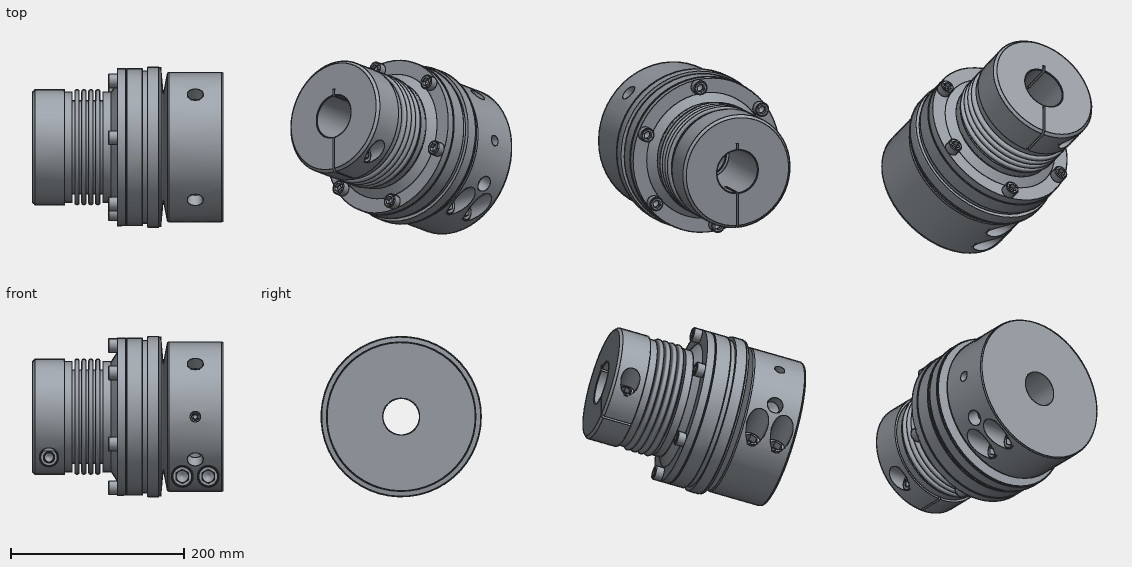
import cadquery as cq
import math

total_length = 220.0
hub_length = 37.0
front_collar_end = 46.0
rear_collar_start = 81.2
rear_collar_end = 90.5
flange_start = 98.0
flange_joint = 108.0
flange_end = 127.2
disc_start = 132.7
disc_end = 146.0
lip_end = 148.0
groove_bottom = 151.0
clamp_start = 155.8

hub_radius = 66.5
collar_radius = 63.8
bellows_core_radius = 54.0
cone_small_radius = 62.5
cone_large_radius = 74.0
flange_radius = 90.6
neck_radius = 88.0
disc_radius = 92.5
lip_radius = 91.7
groove_radius = 60.5
clamp_radius = 86.2

hub_chamfer = 3.0
flange_chamfer = 0.9
disc_front_chamfer_length = 1.5
disc_rear_chamfer_length = 0.9
disc_chamfer_depth = 0.5
clamp_chamfer_length = 1.8
clamp_chamfer_depth = 0.9

convolution_count = 4
first_convolution_x = 51.5
last_convolution_x = 75.5
convolution_width = 5.0

hub_bore_diameter = 50.2
clamp_bore_diameter = 42.0
bore_chamfer = 0.9
slit_width = 2.6
slit_top = 33.0

flange_screw_count = 6
flange_screw_circle_radius = 82.7
flange_screw_first_angle = 82.4
flange_screw_head = 16.0
flange_screw_height = flange_start - 87.5
flange_screw_socket = 8.5

hub_screw_x = hub_length / 2 + 0.7
hub_screw_z = -46.9
hub_screw_shank = 14.0
hub_screw_head = 21.3
hub_screw_pocket = 22.0
hub_screw_socket = 10.5
hub_screw_recess_diameter = 13.0
hub_screw_recess_depth = 0.5
hub_screw_face_y = -32.0
hub_screw_height = 14.3
hub_screw_flat_z = -39.4

clamp_center_x = 187.9
clamp_screw_spacing = 30.0
clamp_screw_z = -68.9
clamp_screw_head = 24.0
clamp_screw_pocket = 25.0
clamp_screw_socket = 14.0
clamp_screw_face_y = -29.7
clamp_screw_height = 16.5

head_chamfer = 1.0
socket_depth_ratio = 0.5
drill_tip_ratio = 0.25

spanner_hole_diameter = 18.5
spanner_hole_depth = 17.2
spanner_hole_angles = (45.0, 135.0, 215.0)
set_screw_hole_diameter = 12.0
set_screw_hole_depth = 11.0
set_screw_face_diameter = 8.5
set_screw_cone_depth = 1.8
set_screw_socket = 5.3
set_screw_socket_depth = 3.3


def turned_body():
    """Outer shape of the coupling, revolved about X without the convolutions."""
    outline = [
        (0, 0),
        (0, hub_radius - hub_chamfer),
        (hub_chamfer, hub_radius),
        (hub_length, hub_radius),
        (hub_length, collar_radius),
        (front_collar_end, collar_radius),
        (front_collar_end, bellows_core_radius),
        (rear_collar_start, bellows_core_radius),
        (rear_collar_start, collar_radius),
        (rear_collar_end, collar_radius),
        (rear_collar_end, cone_small_radius),
        (flange_start, cone_large_radius),
        (flange_start, flange_radius),
        (flange_joint - flange_chamfer, flange_radius),
        (flange_joint, flange_radius - flange_chamfer),
        (flange_joint + flange_chamfer, flange_radius),
        (flange_end - flange_chamfer, flange_radius),
        (flange_end, flange_radius - flange_chamfer),
        (flange_end, neck_radius),
        (disc_start, neck_radius),
        (disc_start, disc_radius - disc_chamfer_depth),
        (disc_start + disc_front_chamfer_length, disc_radius),
        (disc_end - disc_rear_chamfer_length, disc_radius),
        (disc_end, lip_radius),
        (lip_end, lip_radius),
        (groove_bottom, groove_radius),
        (clamp_start, clamp_radius - clamp_chamfer_depth),
        (clamp_start + clamp_chamfer_length, clamp_radius),
        (total_length - clamp_chamfer_length, clamp_radius),
        (total_length, clamp_radius - clamp_chamfer_depth),
        (total_length, 0),
    ]
    return cq.Workplane("XY").polyline(outline).close().revolve(360, (0, 0, 0), (1, 0, 0))


def convolution(center_x):
    """One bellows rib: a thin disc with a fully rounded rim."""
    half_width = convolution_width / 2
    shoulder = hub_radius - half_width
    return (
        cq.Workplane("XY")
        .moveTo(center_x - half_width, bellows_core_radius - 2.2)
        .lineTo(center_x - half_width, shoulder)
        .threePointArc((center_x, hub_radius), (center_x + half_width, shoulder))
        .lineTo(center_x + half_width, bellows_core_radius - 2.2)
        .close()
        .revolve(360, (0, 0, 0), (1, 0, 0))
    )


def stepped_bore():
    """Larger bore through hub and bellows, smaller bore through the rest."""
    hub_bore_radius = hub_bore_diameter / 2
    clamp_bore_radius = clamp_bore_diameter / 2
    outline = [
        (0, 0),
        (0, hub_bore_radius + bore_chamfer),
        (bore_chamfer, hub_bore_radius),
        (rear_collar_end, hub_bore_radius),
        (rear_collar_end, clamp_bore_radius + bore_chamfer),
        (rear_collar_end + bore_chamfer, clamp_bore_radius),
        (total_length, clamp_bore_radius),
        (total_length, 0),
    ]
    return cq.Workplane("XY").polyline(outline).close().revolve(360, (0, 0, 0), (1, 0, 0))


def hex_socket(width, depth):
    """Socket cutter sunk below Z = 0, corners along Y, with a conical drill tip."""
    corner_diameter = width / math.cos(math.pi / 6)
    tip_depth = drill_tip_ratio * width
    prism = cq.Workplane("XY").polygon(6, corner_diameter).extrude(-depth)
    tip = cq.Solid.makeCone(width / 2, 0, tip_depth, cq.Vector(0, 0, -depth), cq.Vector(0, 0, -1))
    return prism.rotate((0, 0, 0), (0, 0, 1), 90).union(cq.Workplane(tip))


def screw_head(diameter, height, socket):
    """Cap screw head with its face on Z = 0 and its body below."""
    head = cq.Workplane("XY").circle(diameter / 2).extrude(-height)
    head = head.faces(">Z").chamfer(head_chamfer)
    return head.cut(hex_socket(socket, socket_depth_ratio * height))


def facing_front(shape, x, y, z):
    """Turn a shape built along Z so that its top faces -Y, then place it."""
    return shape.rotate((0, 0, 0), (1, 0, 0), 90).translate((x, y, z))


def screw_pocket(diameter, x, floor_y, z):
    """Round pocket along Y, open on the -Y side."""
    pocket = cq.Workplane("XY").circle(diameter / 2).extrude(disc_radius)
    return facing_front(pocket, x, floor_y, z)


def flange_screw(angle):
    """Cap screw standing on the flange face, its head toward -X."""
    head = screw_head(flange_screw_head, flange_screw_height, flange_screw_socket)
    head = head.rotate((0, 0, 0), (0, 1, 0), -90)
    head = head.translate((flange_start - flange_screw_height, flange_screw_circle_radius, 0))
    return head.rotate((0, 0, 0), (1, 0, 0), angle)


def add_hub_screw(body):
    """Slit the hub below its bore and add the screw that closes the slit."""
    slit = (
        cq.Workplane("XY")
        .box(hub_length, slit_width, slit_top + hub_radius, centered=(False, True, False))
        .translate((0, 0, -hub_radius))
    )
    floor_y = hub_screw_face_y + hub_screw_height
    pocket = screw_pocket(hub_screw_pocket, hub_screw_x, floor_y, hub_screw_z)
    head = screw_head(hub_screw_head, hub_screw_height, hub_screw_socket)
    recess = cq.Workplane("XY").circle(hub_screw_recess_diameter / 2).extrude(-hub_screw_recess_depth)
    head = facing_front(head.cut(recess), hub_screw_x, hub_screw_face_y, hub_screw_z)
    above_flat = cq.Workplane("XY").box(total_length, total_length, hub_radius, centered=(True, True, False))
    head = head.cut(above_flat.translate((0, 0, hub_screw_flat_z)))
    shank = cq.Workplane("XY").circle(hub_screw_shank / 2).extrude(-2 * floor_y)
    shank = facing_front(shank, hub_screw_x, -floor_y, hub_screw_z)
    return body.cut(slit).cut(pocket).union(head).union(shank)


def add_clamp_screws(body):
    """Two sunk cap screws side by side in the clamping hub."""
    floor_y = clamp_screw_face_y + clamp_screw_height
    for side in (-1, 1):
        x = clamp_center_x + side * clamp_screw_spacing / 2
        body = body.cut(screw_pocket(clamp_screw_pocket, x, floor_y, clamp_screw_z))
        head = screw_head(clamp_screw_head, clamp_screw_height, clamp_screw_socket)
        body = body.union(facing_front(head, x, clamp_screw_face_y, clamp_screw_z))
    return body


def spanner_hole(angle):
    """Blind drilled radial hole in the clamping hub; the angle runs from +Y toward +Z."""
    hole = cq.Workplane("XZ").circle(spanner_hole_diameter / 2).extrude(-2 * spanner_hole_depth)
    tip_depth = drill_tip_ratio * spanner_hole_diameter
    tip = cq.Solid.makeCone(spanner_hole_diameter / 2, 0, tip_depth, cq.Vector(0, 0, 0), cq.Vector(0, -1, 0))
    hole = hole.union(cq.Workplane(tip))
    hole = hole.translate((clamp_center_x, clamp_radius - spanner_hole_depth, 0))
    return hole.rotate((0, 0, 0), (1, 0, 0), angle)


def set_screw_hole():
    """Radial hole with a conical seat and a small hexagon socket at its bottom."""
    hole_radius = set_screw_hole_diameter / 2
    hole = cq.Workplane("XY").circle(hole_radius).extrude(2 * set_screw_hole_depth)
    seat = cq.Solid.makeCone(
        hole_radius, set_screw_face_diameter / 2, set_screw_cone_depth, cq.Vector(0, 0, 0), cq.Vector(0, 0, -1)
    )
    socket = hex_socket(set_screw_socket, set_screw_socket_depth).translate((0, 0, -set_screw_cone_depth))
    cutter = hole.union(cq.Workplane(seat)).union(socket)
    return facing_front(cutter, clamp_center_x, set_screw_hole_depth - clamp_radius, 0)


result = turned_body()

convolution_pitch = (last_convolution_x - first_convolution_x) / (convolution_count - 1)
for index in range(convolution_count):
    result = result.union(convolution(first_convolution_x + index * convolution_pitch))

result = result.cut(stepped_bore())
result = add_hub_screw(result)
result = add_clamp_screws(result)

for angle in spanner_hole_angles:
    result = result.cut(spanner_hole(angle))
result = result.cut(set_screw_hole())

for index in range(flange_screw_count):
    screw_angle = flange_screw_first_angle + index * 360 / flange_screw_count
    result = result.union(flange_screw(screw_angle))